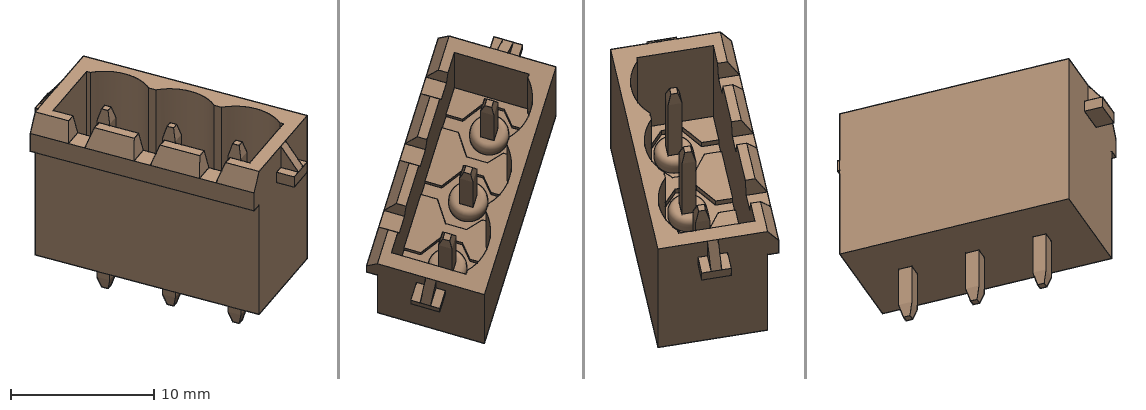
import cadquery as cq
import math

POLE_COUNT = 3
PITCH = 5.07
POLE_XS = [(i - (POLE_COUNT - 1) / 2) * PITCH for i in range(POLE_COUNT)]

OVERALL_WIDTH = 20.05
HOUSING_WIDTH = 17.31
HOUSING_HEIGHT = 12.0
HOUSING_DEPTH = 7.8
PIN_TO_BACK = 3.79
BACK_Y = PIN_TO_BACK
FRONT_Y = BACK_Y - HOUSING_DEPTH

LIP_OVERHANG = 0.8
LIP_HEIGHT = 2.83
LIP_CHAMFER_HEIGHT = 1.32
LIP_Y = FRONT_Y - LIP_OVERHANG

NOTCH_TOP_WIDTH = 1.98
NOTCH_BOTTOM_WIDTH = 1.26

CAVITY_WIDTH = POLE_COUNT * PITCH
CAVITY_DEPTH = 8.62
CAVITY_FRONT_Y = BACK_Y - 7.1
CAVITY_BACK_Y = BACK_Y - 1.66
LOBE_TOP_Y = BACK_Y - 0.78
LOBE_RADIUS = 3.33
FLOOR_Z = HOUSING_HEIGHT - CAVITY_DEPTH

RECESS_DEPTH = 0.5
RECESS_WIDTH = 4.07
RECESS_BACK_WIDTH = 2.08
RECESS_FRONT_WIDTH = 1.0
RECESS_BACK_NECK_Y = 1.35
RECESS_BACK_SHOULDER_Y = 0.48
RECESS_FRONT_SHOULDER_Y = -1.02
RECESS_FRONT_NECK_Y = -2.08
RECESS_Z = FLOOR_Z - RECESS_DEPTH

COLLAR_DIAMETER = 2.75
COLLAR_ROUNDING = 0.48
COLLAR_HEIGHT = 1.0

EAR_LENGTH = (OVERALL_WIDTH - HOUSING_WIDTH) / 2
EAR_Y = (BACK_Y + FRONT_Y) / 2
EAR_WIDTH = 2.1
EAR_RIB_WIDTH = 0.76
EAR_TOP_DROP = 1.78
EAR_THICKNESS = 0.86

PIN_WIDTH = 1.0
PIN_END_WIDTH = 0.5
PIN_TAIL_LENGTH = 3.99
PIN_TAIL_TAPER = 0.92
PIN_TOP_DROP = 1.05
PIN_TOP_TAPER = 0.96


def make_shell():
    """Housing block with its chamfered front lip, as one profile along X."""
    top = HOUSING_HEIGHT
    profile = [
        (BACK_Y, 0),
        (BACK_Y, top),
        (FRONT_Y, top),
        (LIP_Y, top - LIP_CHAMFER_HEIGHT),
        (LIP_Y, top - LIP_HEIGHT),
        (FRONT_Y, top - LIP_HEIGHT),
        (FRONT_Y, 0),
    ]
    return cq.Workplane("YZ").polyline(profile).close().extrude(HOUSING_WIDTH / 2, both=True)


def make_cavity(bottom_z):
    """Rectangular well with a round lobe at the back of each pole."""
    height = HOUSING_HEIGHT - bottom_z
    lobe_y = LOBE_TOP_Y - LOBE_RADIUS
    lobe_half_width = math.sqrt(LOBE_RADIUS**2 - (CAVITY_BACK_Y - lobe_y) ** 2)
    outline = (
        cq.Workplane("XY")
        .workplane(offset=bottom_z)
        .moveTo(-CAVITY_WIDTH / 2, CAVITY_FRONT_Y)
        .lineTo(-CAVITY_WIDTH / 2, CAVITY_BACK_Y)
    )
    for x in POLE_XS:
        outline = outline.lineTo(x - lobe_half_width, CAVITY_BACK_Y).threePointArc(
            (x, LOBE_TOP_Y), (x + lobe_half_width, CAVITY_BACK_Y)
        )
    outline = outline.lineTo(CAVITY_WIDTH / 2, CAVITY_BACK_Y).lineTo(CAVITY_WIDTH / 2, CAVITY_FRONT_Y)
    return outline.close().extrude(height)


def make_recess(x):
    """Keyhole recess below the cavity floor, from the front wall to the lobe."""
    right_side = [
        (RECESS_BACK_WIDTH / 2, BACK_Y),
        (RECESS_BACK_WIDTH / 2, RECESS_BACK_NECK_Y),
        (RECESS_WIDTH / 2, RECESS_BACK_SHOULDER_Y),
        (RECESS_WIDTH / 2, RECESS_FRONT_SHOULDER_Y),
        (RECESS_FRONT_WIDTH / 2, RECESS_FRONT_NECK_Y),
        (RECESS_FRONT_WIDTH / 2, CAVITY_FRONT_Y),
    ]
    left_side = [(-px, py) for px, py in reversed(right_side)]
    keyhole = (
        cq.Workplane("XY")
        .workplane(offset=RECESS_Z)
        .polyline(right_side + left_side)
        .close()
        .extrude(RECESS_DEPTH)
        .translate((x, 0, 0))
    )
    return keyhole.intersect(make_cavity(RECESS_Z))


def make_collar(x):
    """Round collar with a rounded rim, standing in the recess."""
    return (
        cq.Workplane("XY")
        .workplane(offset=RECESS_Z)
        .center(x, 0)
        .circle(COLLAR_DIAMETER / 2)
        .extrude(COLLAR_HEIGHT)
        .faces(">Z")
        .edges()
        .fillet(COLLAR_ROUNDING)
    )


def make_notch(x):
    """Tapered notch through the front wall, as deep as the lip chamfer."""
    bottom = HOUSING_HEIGHT - LIP_CHAMFER_HEIGHT
    profile = [
        (x - NOTCH_BOTTOM_WIDTH / 2, bottom),
        (x + NOTCH_BOTTOM_WIDTH / 2, bottom),
        (x + NOTCH_TOP_WIDTH / 2, HOUSING_HEIGHT),
        (x - NOTCH_TOP_WIDTH / 2, HOUSING_HEIGHT),
    ]
    length = CAVITY_FRONT_Y - LIP_Y
    return cq.Workplane("XZ", origin=(0, CAVITY_FRONT_Y, 0)).polyline(profile).close().extrude(length)


def make_ear():
    """Ear plate on the +X end with a triangular rib above it."""
    root_x = HOUSING_WIDTH / 2
    tip_x = root_x + EAR_LENGTH
    plate_top = HOUSING_HEIGHT - EAR_TOP_DROP
    plate = cq.Workplane("XY").box(EAR_LENGTH, EAR_WIDTH, EAR_THICKNESS, centered=(False, True, False))
    plate = plate.translate((root_x, EAR_Y, plate_top - EAR_THICKNESS))
    rib = (
        cq.Workplane("XZ", origin=(0, EAR_Y, 0))
        .polyline([(root_x, plate_top), (tip_x, plate_top), (root_x, HOUSING_HEIGHT)])
        .close()
        .extrude(EAR_RIB_WIDTH / 2, both=True)
    )
    return plate.union(rib)


def make_pin(x):
    """Square pin running through the housing, tapered at both ends."""
    bottom = -PIN_TAIL_LENGTH
    top = HOUSING_HEIGHT - PIN_TOP_DROP
    shank_bottom = bottom + PIN_TAIL_TAPER
    shank_top = top - PIN_TOP_TAPER
    shank = (
        cq.Workplane("XY", origin=(x, 0, shank_bottom))
        .rect(PIN_WIDTH, PIN_WIDTH)
        .extrude(shank_top - shank_bottom)
    )

    def taper(base_z, length):
        return (
            cq.Workplane("XY", origin=(x, 0, base_z))
            .rect(PIN_WIDTH, PIN_WIDTH)
            .workplane(offset=length)
            .rect(PIN_END_WIDTH, PIN_END_WIDTH)
            .loft(ruled=True)
        )

    return shank.union(taper(shank_top, PIN_TOP_TAPER)).union(taper(shank_bottom, -PIN_TAIL_TAPER))


def make_housing(pins):
    ear = make_ear()
    housing = make_shell().cut(make_cavity(FLOOR_Z)).union(ear).union(ear.mirror("YZ"))
    for x, pin in zip(POLE_XS, pins):
        housing = housing.cut(make_notch(x)).cut(make_recess(x)).union(make_collar(x)).cut(pin)
    return housing


pins = [make_pin(x) for x in POLE_XS]
housing = make_housing(pins)
result = cq.Compound.makeCompound([housing.val(), *[pin.val() for pin in pins]])